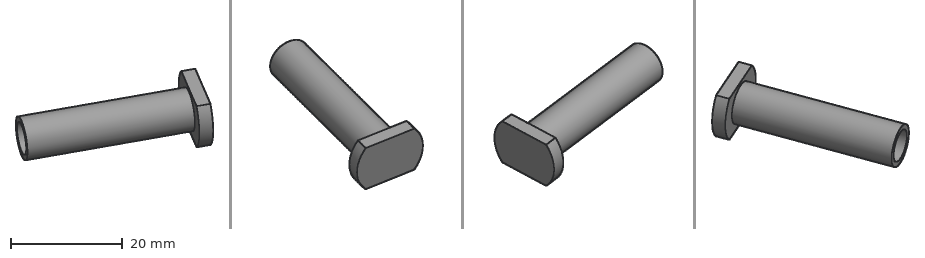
import cadquery as cq

total_length = 33.6
head_thickness = 2.6
head_diameter = 14.0
head_height = 9.5
tube_outer_diameter = 8.0
tube_inner_diameter = 6.0

tube_length = total_length - head_thickness


def rod(diameter, length):
    """Cylinder along +Y, starting at the open end of the tube (Y = 0)."""
    return cq.Workplane("XZ").circle(diameter / 2).extrude(-length)


head = rod(head_diameter, head_thickness).translate((0, tube_length, 0))
flats_envelope = (
    cq.Workplane("XY")
    .box(head_diameter, head_thickness, head_height)
    .translate((0, tube_length + head_thickness / 2, 0))
)
head = head.intersect(flats_envelope)

tube = rod(tube_outer_diameter, tube_length)
bore = rod(tube_inner_diameter, tube_length)

result = head.union(tube).cut(bore)